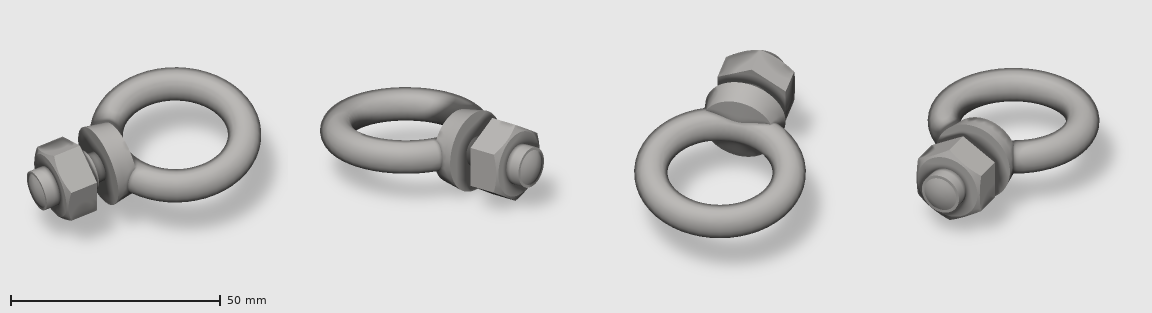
import cadquery as cq
import math


overall_length = 59.5
ring_outer_diameter = 41.0
wire_diameter = 8.0
ring_center_y = 21.0

collar_diameter = 20.0
collar_side_height = 5.7
collar_side_taper = 10.0
collar_crown_slope = 10.0

stud_diameter = 10.0
neck_diameter = 7.4
neck_straight_depth = 0.5
neck_end_depth = 2.5
neck_end_diameter = 8.45
stud_face_depth = 16.7
dome_diameter = 8.55

nut_across_flats = 17.0
nut_thickness = 8.05
nut_top_depth = 5.0
nut_face_diameter = 16.05
nut_chamfer_angle = 30.0

wire_radius = wire_diameter / 2
ring_radius = ring_outer_diameter / 2 - wire_radius
stud_tip_depth = overall_length - ring_center_y - ring_outer_diameter / 2
nut_corner_radius = nut_across_flats / math.sqrt(3)
nut_side_count = 6
corner_turn = 180 / nut_side_count
nut_end_depth = nut_top_depth + nut_thickness


def revolve_about_y(profile):
    """Revolve a closed XY profile a full turn about the Y axis."""
    return profile.revolve(360, (0, 0, 0), (0, 1, 0))


def make_ring():
    center = cq.Vector(0, ring_center_y, 0)
    axis = cq.Vector(0, 0, 1)
    return cq.Workplane(cq.Solid.makeTorus(ring_radius, wire_radius, center, axis))


def make_collar():
    """Tapered collar with a shallow conical crown whose tip is buried in the ring."""
    base_radius = collar_diameter / 2
    rim_radius = base_radius - collar_side_height * math.tan(math.radians(collar_side_taper))
    crown_height = rim_radius * math.tan(math.radians(collar_crown_slope))
    profile = (
        cq.Workplane("XY")
        .lineTo(base_radius, 0)
        .lineTo(rim_radius, collar_side_height)
        .lineTo(0, collar_side_height + crown_height)
        .close()
    )
    return revolve_about_y(profile)


def arc_radius_from_tangent(run, rise):
    """Radius of an arc that departs from its tangent line by rise over a length run."""
    return (run ** 2 + rise ** 2) / (2 * rise)


def make_stud():
    """Stud with a necked undercut flaring toward the thread and a domed tip."""
    neck_radius = neck_diameter / 2
    neck_end_radius = neck_end_diameter / 2
    stud_radius = stud_diameter / 2
    dome_radius = dome_diameter / 2
    flare_arc = arc_radius_from_tangent(neck_end_depth - neck_straight_depth, neck_end_radius - neck_radius)
    dome_arc = arc_radius_from_tangent(dome_radius, stud_tip_depth - stud_face_depth)
    profile = (
        cq.Workplane("XY")
        .lineTo(neck_radius, 0)
        .lineTo(neck_radius, -neck_straight_depth)
        .radiusArc((neck_end_radius, -neck_end_depth), -flare_arc)
        .lineTo(stud_radius, -neck_end_depth)
        .lineTo(stud_radius, -stud_face_depth)
        .lineTo(dome_radius, -stud_face_depth)
        .radiusArc((0, -stud_tip_depth), dome_arc)
        .close()
    )
    return revolve_about_y(profile)


def make_eye_bolt():
    return make_ring().union(make_collar()).union(make_stud())


def make_nut():
    """Hexagon nut with corners toward +Z and -Z, chamfered on the outer face only."""
    hexagon = (
        cq.Workplane("XZ", origin=(0, -nut_top_depth, 0))
        .polygon(nut_side_count, 2 * nut_corner_radius)
        .extrude(nut_thickness)
        .rotate((0, 0, 0), (0, 1, 0), corner_turn)
    )
    face_radius = nut_face_diameter / 2
    chamfer_depth = (nut_corner_radius - face_radius) * math.tan(math.radians(nut_chamfer_angle))
    envelope = revolve_about_y(
        cq.Workplane("XY")
        .moveTo(stud_diameter / 2, -nut_top_depth)
        .lineTo(nut_corner_radius, -nut_top_depth)
        .lineTo(nut_corner_radius, -nut_end_depth + chamfer_depth)
        .lineTo(face_radius, -nut_end_depth)
        .lineTo(stud_diameter / 2, -nut_end_depth)
        .close()
    )
    return hexagon.intersect(envelope)


eye_bolt = make_eye_bolt().solids()
nut = make_nut().solids()

result = cq.Compound.makeCompound([eye_bolt.val(), nut.val()])